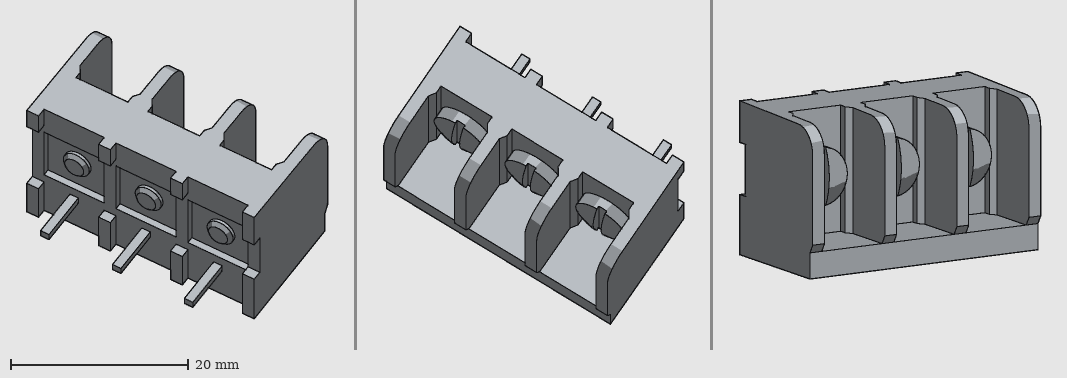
import cadquery as cq
import math


pole_count = 3
pole_pitch = 9.52
wall_thickness = 1.56
length = pole_count * pole_pitch + wall_thickness
bay_width = pole_pitch - wall_thickness
height = 17.78
depth = 15.83

top_slope = math.radians(1.5)
back_corner_radius = 3.2
base_depth = 15.23
base_height = 3.03
base_bevel_top = 4.03

standoff_height = 1.2
lower_foot_top = 5.0
upper_foot_bottom = 14.92
end_lower_foot_top = 6.96
end_upper_foot_bottom = 12.96

bay_face_y = 7.17
bay_throat_width = 6.86
bay_bevel_start_y = 8.13
bay_bevel_end_y = 8.93

screw_z = 9.98
head_radius = 3.39
head_rim_height = 1.5
head_total_height = 2.3
slot_width = 1.07
slot_floor_height = 1.12
tip_radius = 1.72
tip_chamfer = 0.46

recess_height = 7.47
recess_depth = 0.85
recess_floor_y = standoff_height + recess_depth
tip_length = recess_depth

pin_width = 1.12
pin_thickness = 0.9
pin_z = lower_foot_top - pin_thickness / 2
pin_length = 5.12

pole_centres = [(i - (pole_count - 1) / 2) * pole_pitch for i in range(pole_count)]
wall_centres = [(i - pole_count / 2) * pole_pitch for i in range(pole_count + 1)]


def box_between(x_centre, width, y_start, y_end, z_start, z_end):
    """Box centred on x_centre that spans the given Y and Z ranges."""
    return (
        cq.Workplane("XY")
        .box(width, y_end - y_start, z_end - z_start, centered=(True, False, False))
        .translate((x_centre, y_start, z_start))
    )


def make_housing():
    """Side profile extruded over the full length, with its upper back corner rounded."""
    back_top_z = height - depth * math.tan(top_slope)
    profile = [
        (0, 0),
        (base_depth, 0),
        (base_depth, base_height),
        (depth, base_bevel_top),
        (depth, back_top_z),
        (0, height),
    ]
    housing = cq.Workplane("YZ").polyline(profile).close().extrude(length / 2, both=True)
    back_top_edge = cq.selectors.NearestToPointSelector((0, depth, back_top_z))
    return housing.edges(back_top_edge).fillet(back_corner_radius)


def standoff_gaps():
    """Material removed from the mounting side so that only the feet stand proud."""
    gaps = None
    for x in pole_centres:
        gap = box_between(x, bay_width, 0, standoff_height, 0, height)
        gaps = gap if gaps is None else gaps.union(gap)
    for x in wall_centres:
        is_end_wall = x == wall_centres[-1]
        gap_bottom = end_lower_foot_top if is_end_wall else lower_foot_top
        gap_top = end_upper_foot_bottom if is_end_wall else upper_foot_bottom
        gaps = gaps.union(box_between(x, wall_thickness, 0, standoff_height, gap_bottom, gap_top))
    return gaps


def screw_bay(x_centre):
    """Bay between two walls, beveled down to a narrower throat in front of the screw head."""
    half_bay = bay_width / 2
    half_throat = bay_throat_width / 2
    outline = [
        (-half_throat, bay_face_y),
        (half_throat, bay_face_y),
        (half_throat, bay_bevel_start_y),
        (half_bay, bay_bevel_end_y),
        (half_bay, depth),
        (-half_bay, depth),
        (-half_bay, bay_bevel_end_y),
        (-half_throat, bay_bevel_start_y),
    ]
    bay = cq.Workplane("XY").polyline(outline).close().extrude(height - base_height)
    return bay.translate((x_centre, 0, base_height))


def tip_recess(x_centre):
    """Shallow rectangular recess around a screw tip."""
    bottom = screw_z - recess_height / 2
    return box_between(x_centre, bay_width, standoff_height, recess_floor_y, bottom, bottom + recess_height)


def screw_head(x_centre):
    """Domed head with a vertical driver slot, seated on the bay face."""
    dome_height = head_total_height - head_rim_height
    dome_radius = (head_radius**2 + dome_height**2) / (2 * dome_height)
    mid_x = head_radius / 2
    mid_y = head_total_height - dome_radius + math.sqrt(dome_radius**2 - mid_x**2)
    head = (
        cq.Workplane("XY")
        .lineTo(head_radius, 0)
        .lineTo(head_radius, head_rim_height)
        .threePointArc((mid_x, mid_y), (0, head_total_height))
        .close()
        .revolve(360, (0, 0, 0), (0, 1, 0))
    )
    slot = box_between(0, slot_width, slot_floor_height, head_total_height, -head_radius, head_radius)
    return head.cut(slot).translate((x_centre, bay_face_y, screw_z))


def screw_tip(x_centre):
    """Chamfered screw end rising from the recess floor, flush with the recessed face."""
    tip = cq.Workplane("XZ").circle(tip_radius).extrude(tip_length).faces("<Y").chamfer(tip_chamfer)
    return tip.translate((x_centre, recess_floor_y, screw_z))


def pin(x_centre):
    """Rectangular solder pin."""
    bottom = pin_z - pin_thickness / 2
    return box_between(x_centre, pin_width, -pin_length, standoff_height, bottom, bottom + pin_thickness)


result = make_housing().cut(standoff_gaps())
for pole_x in pole_centres:
    result = result.cut(screw_bay(pole_x)).cut(tip_recess(pole_x))
    result = result.union(screw_head(pole_x)).union(screw_tip(pole_x)).union(pin(pole_x))